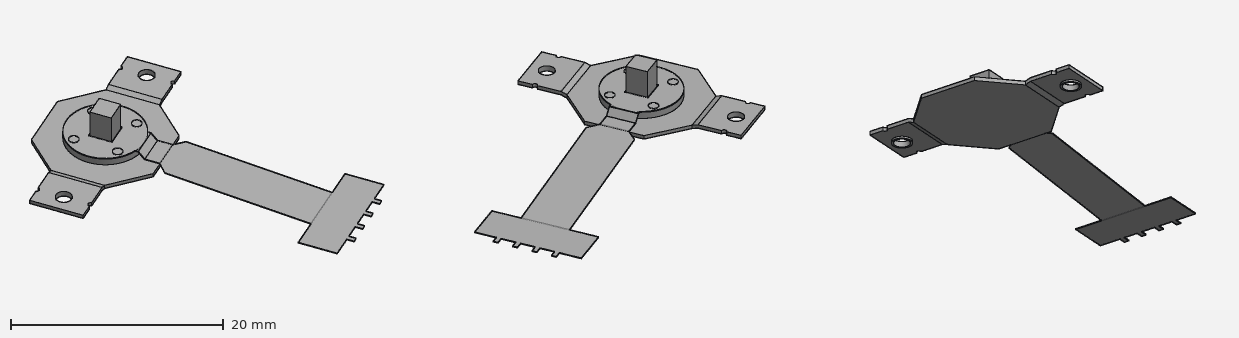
import cadquery as cq
import math


SHEET = 0.4
PLATE_HALF_X = 6.25
PLATE_HALF_Y = 6.45
PLATE_SIDE_HALF = 3.05
TAB_WIDTH = 5.5
TAB_HALF_WIDTH = TAB_WIDTH / 2
TAB_END_Y = 11.5
TAB_RISE = 0.2
TAB_BEND_LENGTH = 0.6
TAB_HOLE_Y = 9.75
TAB_HOLE_DIA = 1.6
TAB_COLLAR_DIA = 2.0
TAB_NOTCH_DIA = 0.5

HOUSING_DIA = 8.0
FLEX = 0.1
STACK_TOP = 1.2
HOUSING_TOP = STACK_TOP - FLEX
WINDOW = 2.4

KNOB_WIDTH = 2.2
KNOB_TOP = 4.0
PIN_DIA = 1.0
PIN_PITCH = 4.5

FOLD_START_X = 4.05
FOLD_ANGLE = 46.0
FLEX_LOW_Z = SHEET + FLEX
NECK_HALF = 1.5
TAIL_START_X = PLATE_HALF_X
TAIL_HALF = 2.5
TAIL_TAPER = 0.95
HEAD_START_X = 22.2
HEAD_LENGTH = 4.0
HEAD_END_X = HEAD_START_X + HEAD_LENGTH
HEAD_HALF = 5.5
HEAD_Z = -0.8
CONTACT_LENGTH = 0.75
CONTACT_WIDTH = 0.5
CONTACT_PITCH = 2.0
CONTACT_COUNT = 4


def cylinder(x, y, diameter, bottom, top):
    """Vertical cylinder between two heights."""
    return cq.Workplane("XY", origin=(x, y, bottom)).circle(diameter / 2).extrude(top - bottom)


def make_tab():
    """Tab on the +Y side: stepped up by a bend, with collar, hole and edge notches."""
    bend_end_y = PLATE_HALF_Y + TAB_BEND_LENGTH
    tab_top = TAB_RISE + SHEET
    tab = (
        cq.Workplane("YZ", origin=(-TAB_HALF_WIDTH, 0, 0))
        .polyline([
            (PLATE_HALF_Y, 0),
            (bend_end_y, TAB_RISE),
            (TAB_END_Y, TAB_RISE),
            (TAB_END_Y, tab_top),
            (bend_end_y, tab_top),
            (PLATE_HALF_Y, SHEET),
        ])
        .close()
        .extrude(TAB_WIDTH)
    )
    tab = tab.union(cylinder(0, TAB_HOLE_Y, TAB_COLLAR_DIA, 0, TAB_RISE))
    tab = tab.cut(cylinder(0, TAB_HOLE_Y, TAB_HOLE_DIA, 0, tab_top))
    for x in (-TAB_HALF_WIDTH, TAB_HALF_WIDTH):
        tab = tab.cut(cylinder(x, TAB_HOLE_Y, TAB_NOTCH_DIA, 0, tab_top))
    return tab


def make_bracket():
    plate = (
        cq.Workplane("XY")
        .polyline([
            (PLATE_HALF_X, -PLATE_SIDE_HALF),
            (PLATE_HALF_X, PLATE_SIDE_HALF),
            (TAB_HALF_WIDTH, PLATE_HALF_Y),
            (-TAB_HALF_WIDTH, PLATE_HALF_Y),
            (-PLATE_HALF_X, PLATE_SIDE_HALF),
            (-PLATE_HALF_X, -PLATE_SIDE_HALF),
            (-TAB_HALF_WIDTH, -PLATE_HALF_Y),
            (TAB_HALF_WIDTH, -PLATE_HALF_Y),
        ])
        .close()
        .extrude(SHEET)
    )
    tab = make_tab()
    return plate.union(tab).union(tab.mirror("XZ"))


def make_pins():
    """Four pins standing on the bracket, flush with the top of the flexible circuit."""
    half = PIN_PITCH / 2
    return [
        cylinder(x, y, PIN_DIA, SHEET, STACK_TOP)
        for x in (-half, half)
        for y in (-half, half)
    ]


def make_knob():
    return (
        cq.Workplane("XY", origin=(0, 0, SHEET))
        .rect(KNOB_WIDTH, KNOB_WIDTH)
        .extrude(KNOB_TOP - SHEET)
    )


def cut_openings(body):
    """Cut the knob window and the pin holes through a body of the stack."""
    window = (
        cq.Workplane("XY", origin=(0, 0, SHEET))
        .rect(WINDOW, WINDOW)
        .extrude(STACK_TOP - SHEET)
    )
    body = body.cut(window)
    for pin in make_pins():
        body = body.cut(pin)
    return body


def make_housing():
    return cut_openings(cylinder(0, 0, HOUSING_DIA, SHEET, HOUSING_TOP))


def flex_outline(start_z, depth):
    """Plan outline of the flexible circuit, extruded upwards by depth."""
    plane = cq.Workplane("XY", origin=(0, 0, start_z))
    disc = plane.circle(HOUSING_DIA / 2).extrude(depth)
    neck = (
        plane.center(TAIL_START_X / 2, 0)
        .rect(TAIL_START_X, 2 * NECK_HALF)
        .extrude(depth)
    )
    taper_end_x = TAIL_START_X + TAIL_TAPER
    tail = (
        plane.polyline([
            (TAIL_START_X, -NECK_HALF),
            (taper_end_x, -TAIL_HALF),
            (HEAD_START_X, -TAIL_HALF),
            (HEAD_START_X, -HEAD_HALF),
            (HEAD_END_X, -HEAD_HALF),
            (HEAD_END_X, HEAD_HALF),
            (HEAD_START_X, HEAD_HALF),
            (HEAD_START_X, TAIL_HALF),
            (taper_end_x, TAIL_HALF),
            (TAIL_START_X, NECK_HALF),
        ])
        .close()
        .extrude(depth)
    )
    outline = disc.union(neck).union(tail)
    for i in range(CONTACT_COUNT):
        y = (i - (CONTACT_COUNT - 1) / 2) * CONTACT_PITCH
        contact = (
            plane.center(HEAD_END_X, y)
            .rect(2 * CONTACT_LENGTH, CONTACT_WIDTH)
            .extrude(depth)
        )
        outline = outline.union(contact)
    return outline


def make_flex():
    """Folded ribbon profile along X, trimmed to the plan outline."""
    fold = math.radians(FOLD_ANGLE)
    fold_end_x = FOLD_START_X + (STACK_TOP - FLEX_LOW_Z) / math.tan(fold)
    miter = FLEX * math.tan(fold / 2)
    start_x = -HOUSING_DIA / 2
    end_x = HEAD_END_X + CONTACT_LENGTH
    ribbon = (
        cq.Workplane("XZ", origin=(0, HEAD_HALF, 0))
        .polyline([
            (start_x, STACK_TOP),
            (FOLD_START_X, STACK_TOP),
            (fold_end_x, FLEX_LOW_Z),
            (TAIL_START_X, FLEX_LOW_Z),
            (HEAD_START_X, HEAD_Z),
            (end_x, HEAD_Z),
            (end_x, HEAD_Z - FLEX),
            (HEAD_START_X, HEAD_Z - FLEX),
            (TAIL_START_X, FLEX_LOW_Z - FLEX),
            (fold_end_x - miter, FLEX_LOW_Z - FLEX),
            (FOLD_START_X - miter, STACK_TOP - FLEX),
            (start_x, STACK_TOP - FLEX),
        ])
        .close()
        .extrude(2 * HEAD_HALF)
    )
    lowest = HEAD_Z - FLEX
    return cut_openings(ribbon.intersect(flex_outline(lowest, STACK_TOP - lowest)))


bracket = make_bracket()
housing = make_housing()
flex = make_flex()
knob = make_knob()
pins = make_pins()

result = cq.Compound.makeCompound([
    bracket.val(),
    housing.val(),
    flex.val(),
    knob.val(),
    *[pin.val() for pin in pins],
])